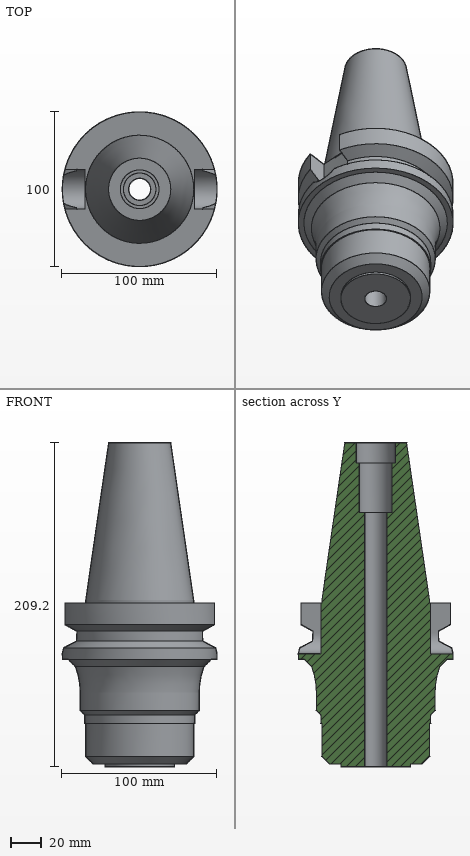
import cadquery as cq
import math


TAPER_RATE = 7 / 24
GAUGE_RADIUS = 34.925
TAPER_LENGTH = 101.8
SMALL_END_RADIUS = GAUGE_RADIUS - TAPER_LENGTH * TAPER_RATE / 2
FACE_GAP = 1.5

FLANGE_RADIUS = 50
FLANGE_TOP_Z = -FACE_GAP
FLANGE_BOTTOM_Z = -38
GROOVE_CENTER_Z = -23.1
GROOVE_FLOOR_RADIUS = 42.6
GROOVE_FLANK_ANGLE = 30
GROOVE_HALF_MOUTH = 7.5
GROOVE_FLANK_RISE = (FLANGE_RADIUS - GROOVE_FLOOR_RADIUS) * math.tan(math.radians(GROOVE_FLANK_ANGLE))
GROOVE_HALF_FLOOR = GROOVE_HALF_MOUTH - GROOVE_FLANK_RISE

SLOT_WIDTH = 25.7
SLOT_FLOOR_X = 35.4
SLOT_STRAIGHT_LENGTH = 20
SLOT_END_CENTER_Z = FLANGE_TOP_Z - SLOT_STRAIGHT_LENGTH

NECK_TOP_RADIUS = 46.3
NECK_CONE_SIZE = 4.8
SWEEP_TOP_RADIUS = NECK_TOP_RADIUS - NECK_CONE_SIZE
SWEEP_TOP_Z = FLANGE_BOTTOM_Z - NECK_CONE_SIZE
SWEEP_BOTTOM_Z = -59.6
COLLAR_RADIUS = 38.5
COLLAR_BOTTOM_Z = -71

BAND_RADIUS = 35.6
BAND_TOP_Z = COLLAR_BOTTOM_Z - (COLLAR_RADIUS - BAND_RADIUS)
BAND_BOTTOM_Z = -79.4
NOSE_RADIUS = 35
NOSE_BOTTOM_Z = -105.7
NOSE_CHAMFER = 5
BOSS_RADIUS = 22.5
BOSS_HEIGHT = 1.7
BOTTOM_Z = NOSE_BOTTOM_Z - BOSS_HEIGHT

PILOT_RADIUS = 12.5
PILOT_DEPTH = 13
THREAD_CORE_RADIUS = 10.5
THREAD_CORE_DEPTH = 45
THROUGH_RADIUS = 7


def sweep_midpoint():
    """Point halfway down the concave arc that runs tangent into the collar."""
    drop = SWEEP_TOP_Z - SWEEP_BOTTOM_Z
    inset = SWEEP_TOP_RADIUS - COLLAR_RADIUS
    arc_radius = (drop**2 + inset**2) / (2 * inset)
    half_angle = math.asin(drop / arc_radius) / 2
    radius = COLLAR_RADIUS + arc_radius * (1 - math.cos(half_angle))
    return (radius, SWEEP_BOTTOM_Z + arc_radius * math.sin(half_angle))


def make_body():
    """Turned body, revolved from its half outline in the XZ plane."""
    outline = (
        cq.Workplane("XZ")
        .moveTo(0, TAPER_LENGTH)
        .lineTo(SMALL_END_RADIUS, TAPER_LENGTH)
        .lineTo(GAUGE_RADIUS, 0)
        .lineTo(GAUGE_RADIUS, FLANGE_TOP_Z)
        .lineTo(FLANGE_RADIUS, FLANGE_TOP_Z)
        .lineTo(FLANGE_RADIUS, GROOVE_CENTER_Z + GROOVE_HALF_MOUTH)
        .lineTo(GROOVE_FLOOR_RADIUS, GROOVE_CENTER_Z + GROOVE_HALF_FLOOR)
        .lineTo(GROOVE_FLOOR_RADIUS, GROOVE_CENTER_Z - GROOVE_HALF_FLOOR)
        .lineTo(FLANGE_RADIUS, GROOVE_CENTER_Z - GROOVE_HALF_MOUTH)
        .lineTo(FLANGE_RADIUS, FLANGE_BOTTOM_Z)
        .lineTo(NECK_TOP_RADIUS, FLANGE_BOTTOM_Z)
        .lineTo(SWEEP_TOP_RADIUS, SWEEP_TOP_Z)
        .threePointArc(sweep_midpoint(), (COLLAR_RADIUS, SWEEP_BOTTOM_Z))
        .lineTo(COLLAR_RADIUS, COLLAR_BOTTOM_Z)
        .lineTo(BAND_RADIUS, BAND_TOP_Z)
        .lineTo(BAND_RADIUS, BAND_BOTTOM_Z)
        .lineTo(NOSE_RADIUS, BAND_BOTTOM_Z)
        .lineTo(NOSE_RADIUS, NOSE_BOTTOM_Z + NOSE_CHAMFER)
        .lineTo(NOSE_RADIUS - NOSE_CHAMFER, NOSE_BOTTOM_Z)
        .lineTo(BOSS_RADIUS, NOSE_BOTTOM_Z)
        .lineTo(BOSS_RADIUS, BOTTOM_Z)
        .lineTo(0, BOTTOM_Z)
        .close()
    )
    return outline.revolve(360, (0, 0, 0), (0, 1, 0))


def make_drive_slot(side):
    """Round-ended slot, open at the flange top, cut outward from a flat floor on one X side."""
    half_width = SLOT_WIDTH / 2
    return (
        cq.Workplane("YZ", origin=(side * SLOT_FLOOR_X, 0, 0))
        .moveTo(-half_width, FLANGE_TOP_Z)
        .lineTo(-half_width, SLOT_END_CENTER_Z)
        .threePointArc((0, SLOT_END_CENTER_Z - half_width), (half_width, SLOT_END_CENTER_Z))
        .lineTo(half_width, FLANGE_TOP_Z)
        .close()
        .extrude(side * FLANGE_RADIUS)
    )


def make_bore(radius, depth):
    """Cylinder reaching down from the small end of the taper."""
    return cq.Workplane("XY", origin=(0, 0, TAPER_LENGTH)).circle(radius).extrude(-depth)


result = make_body()
for side in (-1, 1):
    result = result.cut(make_drive_slot(side))
for radius, depth in (
    (PILOT_RADIUS, PILOT_DEPTH),
    (THREAD_CORE_RADIUS, THREAD_CORE_DEPTH),
    (THROUGH_RADIUS, TAPER_LENGTH - BOTTOM_Z),
):
    result = result.cut(make_bore(radius, depth))